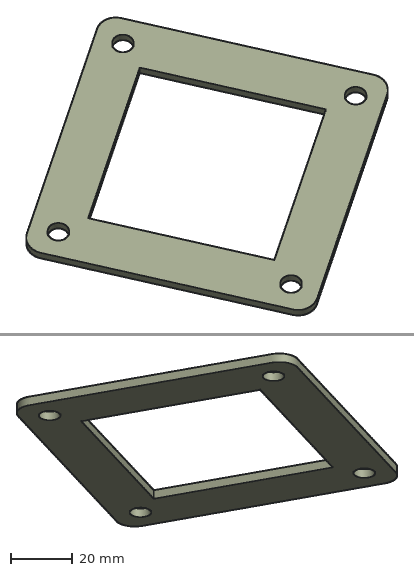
import cadquery as cq

plate_side = 98.55
plate_thickness = 3.2
corner_radius = 6.4

window_side = 63.2

hole_diameter = 7.1
hole_spacing = 79.0

plate = (
    cq.Workplane("XY")
    .box(plate_side, plate_side, plate_thickness)
    .edges("|Z")
    .fillet(corner_radius)
)

framed_plate = (
    plate.faces(">Z")
    .workplane()
    .rect(window_side, window_side)
    .cutThruAll()
)

result = (
    framed_plate.faces(">Z")
    .workplane()
    .rect(hole_spacing, hole_spacing, forConstruction=True)
    .vertices()
    .hole(hole_diameter)
)